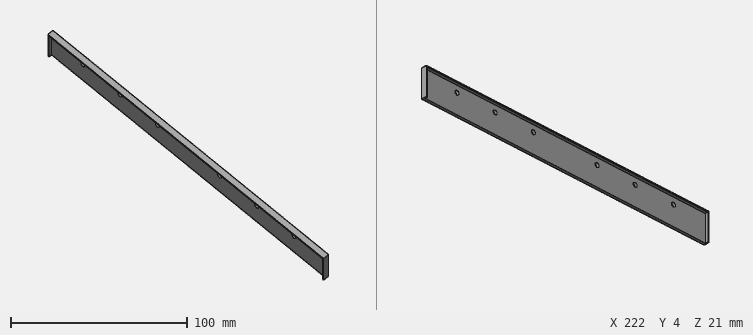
import cadquery as cq

length = 222.0
depth = 4.0
height = 21.0

wall = 1.0
web = 2.0

hole_diameter = 3.0
hole_drop = 6.0
inner_hole_offset = 25.0
hole_pitch = 30.0
holes_per_side = 3


def make_strip():
    """Flat plate with a rim along the top and both ends, open at the bottom."""
    block = cq.Workplane("XY").box(length, depth, height)
    recess_depth = depth - web
    recess = (
        cq.Workplane("XY")
        .box(length - 2 * wall, recess_depth, height)
        .translate((0, -web / 2, -wall))
    )
    return block.cut(recess)


def make_holes():
    """Row of through holes below the top rim, in two groups."""
    points = []
    for i in range(holes_per_side):
        x = inner_hole_offset + i * hole_pitch
        points += [(-x, height / 2 - hole_drop), (x, height / 2 - hole_drop)]
    return (
        cq.Workplane("XZ")
        .pushPoints(points)
        .circle(hole_diameter / 2)
        .extrude(depth, both=True)
    )


result = make_strip().cut(make_holes())